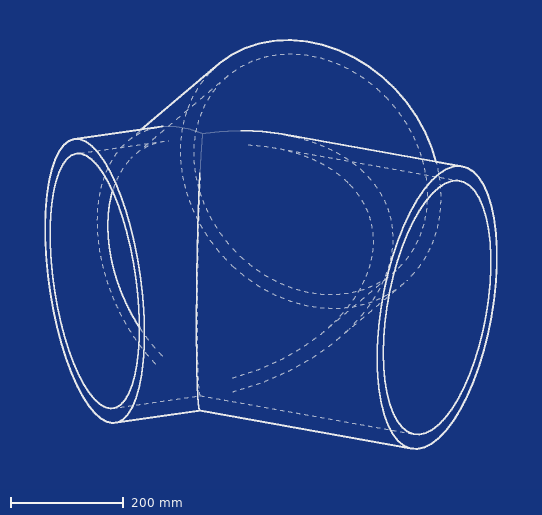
import cadquery as cq
import math

overall_width = 1006.0
overall_depth = 706.0
outer_diameter = 508.0
bore_diameter = 456.0
branch_angle = 45.0

angle = math.radians(branch_angle)
outer_radius = outer_diameter / 2
branch_length = (overall_width / 2 - outer_radius * math.cos(angle)) / math.sin(angle)

branch_reach = branch_length * math.cos(angle) + outer_radius * math.sin(angle)
stem_length = overall_depth - branch_reach

pipes = [
    (stem_length, cq.Vector(0, -1, 0)),
    (branch_length, cq.Vector(math.sin(angle), math.cos(angle), 0)),
    (branch_length, cq.Vector(-math.sin(angle), math.cos(angle), 0)),
]


def joined_cylinders(diameter):
    """Union of one cylinder per pipe, all starting at the origin."""
    cylinders = []
    for length, direction in pipes:
        cylinders.append(cq.Solid.makeCylinder(diameter / 2, length, cq.Vector(0, 0, 0), direction))
    first, *others = cylinders
    return cq.Workplane(obj=first.fuse(*others))


result = joined_cylinders(outer_diameter).cut(joined_cylinders(bore_diameter))